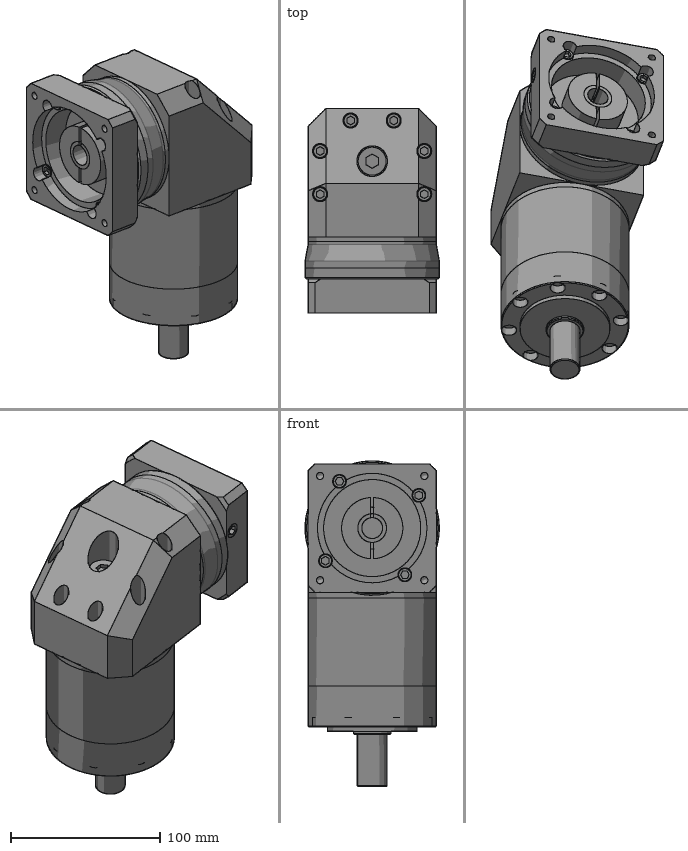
import cadquery as cq
import math


overall_height = 218.0
overall_depth = 137.0
flange_diameter = 90.0
elbow_width = 86.0

flange_radius = flange_diameter / 2
half_width = elbow_width / 2
input_height = half_width
tip_z = input_height + flange_radius - overall_height
mouth_y = half_width - overall_depth
elbow_front_y = -half_width

slope_setback = 50.1
elbow_chamfer = 12.0
output_spigot_length = 4.0
input_spigot_length = 3.3

screw_circle_radius = 37.7
screw_spacing = 45.0
first_screw_angle = -22.5
screw_count = 6
pocket_radius = 5.0
pocket_floor_z = 26.2
head_radius = 4.4
head_height = 5.0
socket_width = 5.0
socket_depth = 2.6
socket_turn = 30.0

plug_y = 7.6
plug_hole_radius = 10.2
plug_radius = 9.4
plug_seat_z = 52.3
plug_height = 4.4
plug_socket_width = 8.3

gear_length = 58.6
output_length = 27.5
output_chamfer = 0.7
boss_radius = 30.0
boss_height = 3.0
bottom_hole_count = 8
bottom_hole_radius = 5.0
bottom_hole_depth = 6.3

gear_top_z = -output_spigot_length
output_top_z = gear_top_z - gear_length
output_bottom_z = output_top_z - output_length
boss_bottom_z = output_bottom_z - boss_height

shaft_radius = 10.0
shaft_chamfer = 0.7
collar_radius = 12.6
collar_height = 2.0

taper_start = 5.2
taper_end = 16.4
cover_end = 21.0
sleeve_radius = 9.5
sleeve_bore_radius = 7.0
slit_width = 2.0

cover_front_y = elbow_front_y - cover_end

flange_rim_end = 28.3
rim_chamfer = 1.0
corner_chamfer = 4.5
corner_turning_radius = 55.2
pilot_radius = 36.6
pilot_depth = 8.0
chamber_radius = 32.5
chamber_depth = 26.0
floor_hole_radius = 14.0

flange_back_y = elbow_front_y - flange_rim_end
chamber_floor_y = mouth_y + chamber_depth

mounting_hole_offset = 34.9
mounting_hole_radius = 2.5
mounting_hole_depth = 11.0
drill_point_angle = 118.0

flange_screw_count = 4
flange_screw_spacing = 360 / flange_screw_count
flange_screw_circle_radius = 38.2
first_flange_screw_angle = 35.0
flange_pocket_radius = 4.5
flange_pocket_depth = 12.6
flange_head_radius = 4.1

access_offset_z = 14.4
access_setback = 16.0
access_radius = 5.0
access_recess = 0.2
access_socket_width = 5.9
access_socket_depth = 4.4

clamp_radius = 20.5
clamp_setback = 9.5

clamp_front_y = mouth_y + clamp_setback
clamp_length = chamber_floor_y - clamp_front_y


def z_cylinder(radius, bottom_z, top_z, x=0, y=0):
    return cq.Workplane("XY", origin=(x, y, bottom_z)).circle(radius).extrude(top_z - bottom_z)


def input_plane(y):
    """Plane across the input axis at y, extruding towards -Y."""
    return cq.Workplane("XZ", origin=(0, y, input_height))


def input_cylinder(radius, back_y, front_y):
    return input_plane(back_y).circle(radius).extrude(back_y - front_y)


def input_revolve(points):
    """Turn a profile of (radius, y) points about the input axis."""
    profile = cq.Workplane("XY", origin=(0, 0, input_height)).polyline(points).close()
    return profile.revolve(360, (0, 0, 0), (0, 1, 0))


def across_corners(width_across_flats):
    return width_across_flats / math.cos(math.pi / 6)


def socket_head(workplane, radius, height, socket, depth):
    """Round screw head standing on a workplane, with a hexagon socket in its top."""
    head = workplane.circle(radius).extrude(height)
    recess = workplane.workplane(offset=height - depth).polygon(6, across_corners(socket)).extrude(depth)
    return head.cut(recess)


def elbow_block():
    slope_foot_z = elbow_width - slope_setback
    slope_top_y = half_width - slope_setback
    side = [
        (elbow_front_y, 0),
        (half_width, 0),
        (half_width, slope_foot_z),
        (slope_top_y, elbow_width),
        (elbow_front_y, elbow_width),
    ]
    block = cq.Workplane("YZ", origin=(-half_width, 0, 0)).polyline(side).close().extrude(elbow_width)
    for side_face in ("<X", ">X"):
        block = block.faces(side_face).edges("(not <Y) and (not <Z)").chamfer(elbow_chamfer)
    return block


def make_elbow():
    elbow = elbow_block()
    elbow = elbow.union(z_cylinder(half_width, -output_spigot_length, 0))
    elbow = elbow.union(input_cylinder(half_width, elbow_front_y, elbow_front_y - input_spigot_length))

    for index in range(screw_count):
        angle = first_screw_angle + index * screw_spacing
        x = screw_circle_radius * math.cos(math.radians(angle))
        y = screw_circle_radius * math.sin(math.radians(angle))
        elbow = elbow.cut(z_cylinder(pocket_radius, pocket_floor_z, elbow_width, x, y))
        seat = cq.Workplane("XY", origin=(x, y, pocket_floor_z)).transformed(rotate=(0, 0, socket_turn))
        elbow = elbow.union(socket_head(seat, head_radius, head_height, socket_width, socket_depth))

    elbow = elbow.cut(z_cylinder(plug_hole_radius, plug_seat_z, elbow_width, 0, plug_y))
    seat = cq.Workplane("XY", origin=(0, plug_y, plug_seat_z)).transformed(rotate=(0, 0, socket_turn))
    return elbow.union(socket_head(seat, plug_radius, plug_height, plug_socket_width, socket_depth))


def make_gear_stage():
    return z_cylinder(half_width, output_top_z, gear_top_z)


def make_output_housing():
    housing = z_cylinder(half_width, output_bottom_z, output_top_z)
    housing = housing.faces("<Z").edges().chamfer(output_chamfer)
    housing = housing.union(z_cylinder(boss_radius, boss_bottom_z, output_bottom_z))
    holes = (
        cq.Workplane("XY", origin=(0, 0, output_bottom_z))
        .polarArray(screw_circle_radius, first_screw_angle, 360, bottom_hole_count)
        .circle(bottom_hole_radius)
        .extrude(bottom_hole_depth)
    )
    return housing.cut(holes)


def make_output_shaft():
    collar_bottom_z = boss_bottom_z - collar_height
    collar = z_cylinder(collar_radius, collar_bottom_z, boss_bottom_z)
    collar = collar.faces("<Z").edges().chamfer(shaft_chamfer)
    shaft = z_cylinder(shaft_radius, tip_z, boss_bottom_z)
    shaft = shaft.faces("<Z").edges().chamfer(shaft_chamfer)
    return shaft.union(collar)


def make_input_cover():
    back_y = elbow_front_y - input_spigot_length
    cover = input_revolve([
        (0, back_y),
        (half_width, back_y),
        (half_width, elbow_front_y - taper_start),
        (flange_radius, elbow_front_y - taper_end),
        (flange_radius, cover_front_y),
        (0, cover_front_y),
    ])
    cover = cover.union(input_cylinder(sleeve_radius, cover_front_y, clamp_front_y))
    cover = cover.cut(input_cylinder(sleeve_bore_radius, cover_front_y, clamp_front_y))
    slit_plane = input_plane(chamber_floor_y).center(0, sleeve_radius / 2)
    slit = slit_plane.rect(slit_width, sleeve_radius).extrude(clamp_length)
    return cover.cut(slit)


def flange_plate():
    """Square plate with chamfered corners, whose back corners are turned to a 45 degree cone."""
    thickness = flange_back_y - mouth_y
    plate = input_plane(flange_back_y).rect(elbow_width, elbow_width).extrude(thickness)
    plate = plate.edges("|Y").chamfer(corner_chamfer)
    turning = input_revolve([
        (0, flange_back_y),
        (corner_turning_radius, flange_back_y),
        (corner_turning_radius + thickness, mouth_y),
        (0, mouth_y),
    ])
    return plate.intersect(turning)


def mounting_holes():
    """Blind drilled holes with conical ends, one near each corner of the mouth face."""
    tip_length = mounting_hole_radius / math.tan(math.radians(drill_point_angle / 2))
    hole_end_y = mouth_y + mounting_hole_depth
    drill = input_revolve([
        (0, mouth_y),
        (mounting_hole_radius, mouth_y),
        (mounting_hole_radius, hole_end_y),
        (0, hole_end_y + tip_length),
    ])
    holes = cq.Workplane("XY")
    for x in (-mounting_hole_offset, mounting_hole_offset):
        for z in (-mounting_hole_offset, mounting_hole_offset):
            holes = holes.add(drill.translate((x, 0, z)))
    return holes.combine()


def make_motor_flange():
    rim = input_cylinder(flange_radius, cover_front_y, flange_back_y).faces("<Y").edges().chamfer(rim_chamfer)
    flange = flange_plate().union(rim)
    flange = flange.cut(input_cylinder(pilot_radius, mouth_y + pilot_depth, mouth_y))
    flange = flange.cut(input_cylinder(chamber_radius, chamber_floor_y, mouth_y))
    flange = flange.cut(input_cylinder(floor_hole_radius, cover_front_y, mouth_y))
    flange = flange.cut(mounting_holes())

    pocket_y = mouth_y + flange_pocket_depth
    for index in range(flange_screw_count):
        angle = first_flange_screw_angle + index * flange_screw_spacing
        x = flange_screw_circle_radius * math.cos(math.radians(angle))
        z = flange_screw_circle_radius * math.sin(math.radians(angle))
        seat = input_plane(pocket_y).center(x, z)
        flange = flange.cut(seat.circle(flange_pocket_radius).extrude(flange_pocket_depth))
        turned_seat = seat.transformed(rotate=(0, 0, socket_turn + index * flange_screw_spacing))
        head = socket_head(turned_seat, flange_head_radius, head_height, socket_width, socket_depth)
        flange = flange.union(head)

    access_y = mouth_y + access_setback
    access_z = input_height + access_offset_z
    access = cq.Workplane("YZ", origin=(-half_width, access_y, access_z))
    flange = flange.cut(access.circle(access_radius).extrude(access_recess))
    socket = access.transformed(rotate=(0, 0, socket_turn)).polygon(6, across_corners(access_socket_width))
    return flange.cut(socket.extrude(access_socket_depth))


def make_clamping_ring():
    """Ring on the sleeve, slit through above and below, with a collar behind joining the halves."""
    ring = input_cylinder(clamp_radius, chamber_floor_y, clamp_front_y)
    ring = ring.cut(input_plane(chamber_floor_y).rect(slit_width, 2 * clamp_radius).extrude(clamp_length))
    ring = ring.union(input_cylinder(floor_hole_radius, cover_front_y, chamber_floor_y))
    return ring.cut(input_cylinder(sleeve_radius, cover_front_y, clamp_front_y))


elbow = make_elbow()
gear_stage = make_gear_stage()
output_housing = make_output_housing()
output_shaft = make_output_shaft()
input_cover = make_input_cover()
motor_flange = make_motor_flange()
clamping_ring = make_clamping_ring()

result = cq.Compound.makeCompound([
    elbow.val(),
    gear_stage.val(),
    output_housing.val(),
    output_shaft.val(),
    input_cover.val(),
    motor_flange.val(),
    clamping_ring.val(),
])